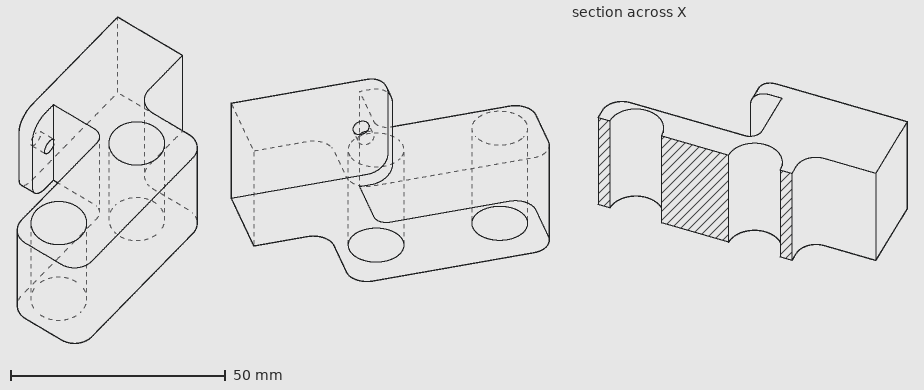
import cadquery as cq

width = 39.52
length = 67.0
height = 28.0

arm_width = 19.0
arm_length = 30.0

tab_thickness = 4.0
tab_end = 38.0

block_setback = 18.0
corner_radius = 5.0
inner_radius = 3.0

bore_count = 2
bore_diameter = 13.0
bore_x = 26.5
bore_spacing = 30.0
bore_end_distance = 9.5

tab_hole_diameter = 3.9
tab_hole_setback = 31.5


def box(x_start, x_end, y_start, y_end):
    """Full-height box between the given X and Y limits, standing on Z = 0."""
    return (
        cq.Workplane("XY")
        .box(x_end - x_start, y_end - y_start, height, centered=False)
        .translate((x_start, y_start, 0))
    )


def vertical_edge(x, y):
    """Selector for the vertical edge that passes through (x, y)."""
    return cq.selectors.NearestToPointSelector((x, y, height / 2))


def make_body():
    """Arm and block joined, with the two inner corners and the block corners rounded."""
    arm = box(0, arm_width, length - arm_length, length)
    block = box(arm_width, width, 0, length - block_setback)
    body = arm.union(block)

    rounded_corners = [
        (arm_width, 0),
        (width, 0),
        (width, length - block_setback),
        (arm_width, length - block_setback),
    ]
    for x, y in rounded_corners:
        body = body.edges("|Z").edges(vertical_edge(x, y)).fillet(corner_radius)

    inner_corner = vertical_edge(arm_width, length - arm_length)
    return body.edges("|Z").edges(inner_corner).fillet(inner_radius)


def make_tab():
    """Tab with rounded free corners, running back along the arm to the back face."""
    tab = box(0, tab_thickness, length - tab_end, length)
    return tab.faces("<Y").edges("|X").fillet(corner_radius)


def make_bores():
    """Two vertical rod bores through the block."""
    centers = [(bore_x, bore_end_distance + i * bore_spacing) for i in range(bore_count)]
    return cq.Workplane("XY").pushPoints(centers).circle(bore_diameter / 2).extrude(height)


def make_tab_hole():
    """Hole along X, as deep as the tab is thick."""
    return (
        cq.Workplane("YZ")
        .center(length - tab_hole_setback, height / 2)
        .circle(tab_hole_diameter / 2)
        .extrude(tab_thickness)
    )


def make_part():
    """Whole bracket: body and tab joined, then bored."""
    return make_body().union(make_tab()).cut(make_bores()).cut(make_tab_hole())


result = make_part()